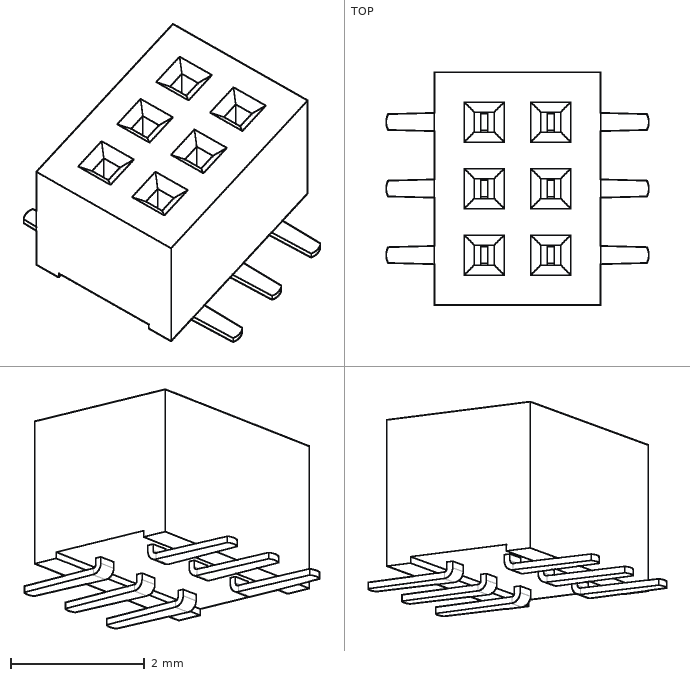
import cadquery as cq

span_x = 3.95
body_x = 2.5
body_y = 3.5
top_z = 2.4

rail_bottom_z = 0.15
rail_width = 0.415
relief_depth = 0.1

pitch = 1.0
column_signs = (-1, 1)
row_positions = [pitch * row for row in (-1, 0, 1)]

mouth_size = 0.6
hole_size = 0.3
funnel_depth = (mouth_size - hole_size) / 2
socket_depth = 1.5
socket_floor_z = top_z - socket_depth

groove_depth = 0.025
groove_floor_z = socket_floor_z - groove_depth

lead_thickness = 0.1
bend_inner_radius = 0.05
bend_outer_radius = bend_inner_radius + lead_thickness
lead_width = 0.312
tip_width = 0.24
tip_bulge = 0.03

post_outer_x = pitch / 2 + lead_thickness / 2
post_inner_x = post_outer_x - lead_thickness
bend_end_x = post_outer_x + bend_inner_radius


def make_housing():
    """Block with a relief channel running the full length of its underside."""
    block = cq.Workplane("XY").workplane(offset=rail_bottom_z).rect(body_x, body_y)
    block = block.extrude(top_z - rail_bottom_z)
    channel = cq.Workplane("XY").workplane(offset=rail_bottom_z)
    channel = channel.rect(body_x - 2 * rail_width, body_y).extrude(relief_depth)
    return block.cut(channel)


def make_socket(x, y):
    """Cavity of one socket: funnel, straight hole and floor groove."""
    funnel = cq.Workplane("XY", origin=(x, y, top_z)).rect(mouth_size, mouth_size)
    funnel = funnel.workplane(offset=-funnel_depth).rect(hole_size, hole_size).loft()
    hole = cq.Workplane("XY", origin=(x, y, socket_floor_z)).rect(hole_size, hole_size)
    hole = hole.extrude(socket_depth - funnel_depth)
    groove = cq.Workplane("XY", origin=(x, y, groove_floor_z))
    groove = groove.rect(lead_thickness, hole_size - 2 * groove_depth)
    groove = groove.workplane(offset=groove_depth).rect(lead_thickness, hole_size).loft()
    return funnel.union(hole).union(groove)


def make_lead():
    """Lead on the +X side, centred on Y = 0: upright post, bend and flat foot."""
    profile = (
        cq.Workplane("XZ")
        .moveTo(span_x / 2, 0)
        .lineTo(bend_end_x, 0)
        .radiusArc((post_inner_x, bend_outer_radius), bend_outer_radius)
        .lineTo(post_inner_x, groove_floor_z)
        .lineTo(post_outer_x, groove_floor_z)
        .lineTo(post_outer_x, bend_outer_radius)
        .radiusArc((bend_end_x, lead_thickness), -bend_inner_radius)
        .lineTo(span_x / 2, lead_thickness)
        .close()
    )
    strip = profile.extrude(lead_width / 2, both=True)

    tip_corner_x = span_x / 2 - tip_bulge
    plan = (
        cq.Workplane("XY")
        .moveTo(post_inner_x, -lead_width / 2)
        .lineTo(bend_end_x, -lead_width / 2)
        .lineTo(tip_corner_x, -tip_width / 2)
        .threePointArc((span_x / 2, 0), (tip_corner_x, tip_width / 2))
        .lineTo(bend_end_x, lead_width / 2)
        .lineTo(post_inner_x, lead_width / 2)
        .close()
        .extrude(groove_floor_z)
    )
    return strip.intersect(plan)


result = make_housing()
lead = make_lead()
for sign in column_signs:
    side_lead = lead if sign > 0 else lead.mirror("YZ")
    for row_y in row_positions:
        result = result.cut(make_socket(sign * pitch / 2, row_y))
        result = result.union(side_lead.translate((0, row_y, 0)))